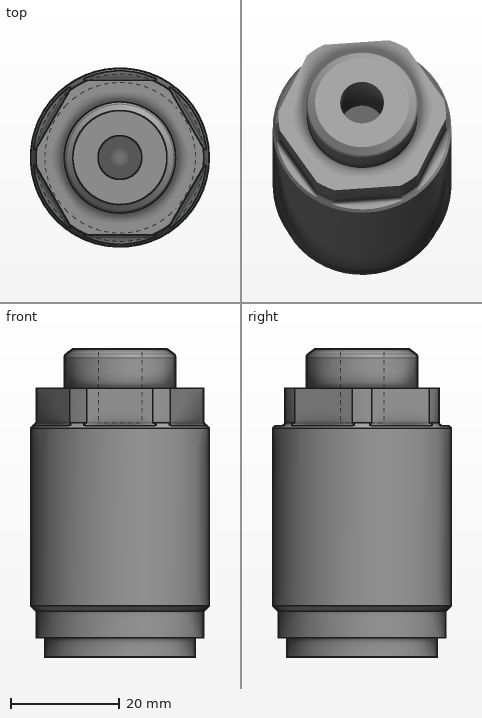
import cadquery as cq
import math

total_height = 57.05
body_diameter = 33.07

spigot_diameter = 27.9
spigot_height = 3.6
collar_diameter = 31.0
collar_height = 4.9

body_chamfer = (body_diameter - collar_diameter) / 2

across_flats = 28.5
head_height = 6.4
flat_count = 6
foot_radius = 0.54

cap_diameter = 20.6
cap_height = 7.25
cap_top_diameter = 17.4
cap_bevel_angle = 36.0
cap_edge_radius = 0.9

bore_diameter = 8.1
bore_depth = cap_height + head_height

collar_top = spigot_height + collar_height
cap_base = total_height - cap_height
head_base = cap_base - head_height


def make_turned_body():
    """Revolve the stepped half profile of spigot, collar, body, head and cap."""
    spigot_radius = spigot_diameter / 2
    collar_radius = collar_diameter / 2
    body_radius = body_diameter / 2
    cap_radius = cap_diameter / 2
    cap_top_radius = cap_top_diameter / 2

    slope = math.radians(cap_bevel_angle)
    half_slope = (slope + math.pi / 2) / 2
    round_start_radius = cap_radius - cap_edge_radius * (1 - math.sin(slope))
    bevel_drop = (round_start_radius - cap_top_radius) * math.tan(slope)
    round_start_z = total_height - bevel_drop
    round_centre_r = cap_radius - cap_edge_radius
    round_centre_z = round_start_z - cap_edge_radius * math.cos(slope)
    round_middle = (
        round_centre_r + cap_edge_radius * math.sin(half_slope),
        round_centre_z + cap_edge_radius * math.cos(half_slope),
    )

    profile = (
        cq.Workplane("XZ")
        .moveTo(0, 0)
        .lineTo(spigot_radius, 0)
        .lineTo(spigot_radius, spigot_height)
        .lineTo(collar_radius, spigot_height)
        .lineTo(collar_radius, collar_top)
        .lineTo(body_radius, collar_top + body_chamfer)
        .lineTo(body_radius, head_base - body_chamfer)
        .lineTo(collar_radius, head_base)
        .lineTo(collar_radius, cap_base)
        .lineTo(cap_radius, cap_base)
        .lineTo(cap_radius, round_centre_z)
        .threePointArc(round_middle, (round_start_radius, round_start_z))
        .lineTo(cap_top_radius, total_height)
        .lineTo(0, total_height)
        .close()
    )
    return profile.revolve(360, (0, 0), (0, 1))


def make_flat_cutter():
    """Prism that cuts the +Y flat and the concave round at its foot."""
    flat_y = across_flats / 2
    floor_z = head_base - foot_radius
    cutter_reach = body_diameter / 2
    round_centre_y = flat_y + foot_radius
    round_offset = foot_radius * math.sin(math.radians(45))
    round_middle = (round_centre_y - round_offset, head_base - round_offset)
    return (
        cq.Workplane("YZ")
        .moveTo(flat_y, cap_base)
        .lineTo(flat_y, head_base)
        .threePointArc(round_middle, (round_centre_y, floor_z))
        .lineTo(cutter_reach, floor_z)
        .lineTo(cutter_reach, cap_base)
        .close()
        .extrude(cutter_reach, both=True)
    )


def cut_flats(part):
    cutter = make_flat_cutter()
    for index in range(flat_count):
        angle = index * 360 / flat_count
        part = part.cut(cutter.rotate((0, 0, 0), (0, 0, 1), angle))
    return part


def cut_bore(part):
    bore = (
        cq.Workplane("XY")
        .workplane(offset=total_height - bore_depth)
        .circle(bore_diameter / 2)
        .extrude(bore_depth)
    )
    return part.cut(bore)


result = cut_bore(cut_flats(make_turned_body()))